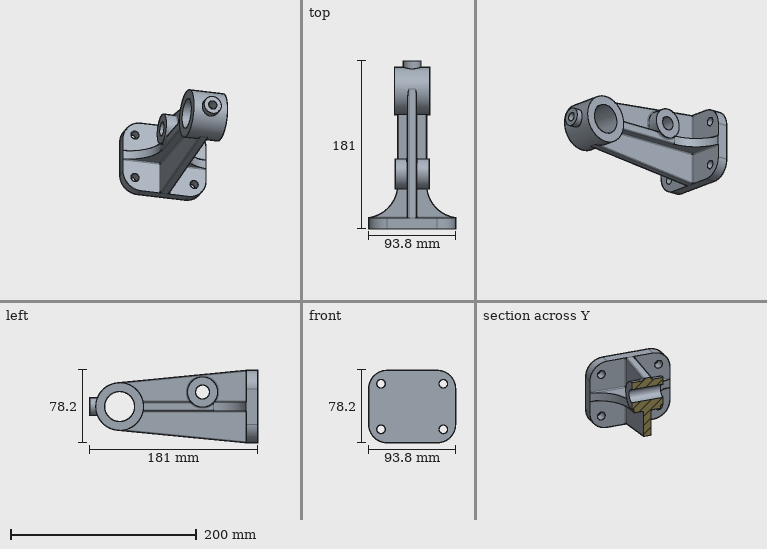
import math

import cadquery as cq

FLANGE_WIDTH = 93.82
FLANGE_HEIGHT = 78.19
FLANGE_THICKNESS = 12.2
FLANGE_CORNER_RADIUS = 20.0
BOLT_SPACING_X = 67.0
BOLT_SPACING_Z = 49.0
BOLT_HOLE_DIAMETER = 9.0

RING_Y = 148.6
RING_RADIUS = 25.7
RING_BORE_DIAMETER = 32.0
RING_WIDTH = 38.0

TOTAL_LENGTH = 180.95
SPOUT_DIAMETER = 19.4
SPOUT_HOLE_DIAMETER = 9.2

WEB_THICKNESS = 9.5
RIB_WIDTH = 31.4
RIB_THICKNESS = 9.5
FLARE_RADIUS = 35.5
FLARE_Y = FLANGE_THICKNESS + FLARE_RADIUS
CAST_RADIUS = 1.1

BOSS_Y = 59.4
BOSS_Z = 15.6
BOSS_DIAMETER = 32.5
BOSS_WIDTH = 36.8
BOSS_HOLE_DIAMETER = 14.8

OVERLAP = 1.0
RING_SINK = 0.003


def x_cylinder(diameter, length, y, z):
    """Cylinder along X, centred on the plane X = 0."""
    return cq.Workplane("YZ", origin=(-length / 2, y, z)).circle(diameter / 2).extrude(length)


def y_cylinder(diameter, y_start, y_end):
    """Cylinder along Y on the axis X = Z = 0."""
    return cq.Workplane("XZ", origin=(0, y_start, 0)).circle(diameter / 2).extrude(y_start - y_end)


def make_flange():
    plate = cq.Workplane("XZ").rect(FLANGE_WIDTH, FLANGE_HEIGHT).extrude(-FLANGE_THICKNESS)
    return plate.edges("|Y").fillet(FLANGE_CORNER_RADIUS)


def make_web():
    """Tapered web whose sloping edges run tangent to the ring."""
    half_height = FLANGE_HEIGHT / 2
    reach = RING_Y - FLANGE_THICKNESS
    tangent_radius = RING_RADIUS - RING_SINK
    to_centre = math.atan2(half_height, reach)
    slope = to_centre - math.asin(tangent_radius / math.hypot(half_height, reach))
    tangent_y = RING_Y + tangent_radius * math.sin(slope)
    tangent_z = tangent_radius * math.cos(slope)
    root_y = FLANGE_THICKNESS - OVERLAP
    web = (
        cq.Workplane("YZ")
        .moveTo(root_y, -half_height)
        .lineTo(FLANGE_THICKNESS, -half_height)
        .lineTo(tangent_y, -tangent_z)
        .lineTo(tangent_y, tangent_z)
        .lineTo(FLANGE_THICKNESS, half_height)
        .lineTo(root_y, half_height)
        .close()
        .extrude(WEB_THICKNESS / 2, both=True)
    )
    edge_y = (FLANGE_THICKNESS + tangent_y) / 2
    edge_z = (half_height + tangent_z) / 2
    for x in (-WEB_THICKNESS / 2, WEB_THICKNESS / 2):
        for z in (-edge_z, edge_z):
            web = web.edges(cq.selectors.NearestToPointSelector((x, edge_y, z))).fillet(CAST_RADIUS)
    return web


def make_flare(thickness):
    """Foot of the cross rib, spreading in an arc on each side to the flange width."""
    half_width = RIB_WIDTH / 2
    tip_x = FLANGE_WIDTH / 2
    centre_x = half_width + FLARE_RADIUS
    tip_y = FLARE_Y - math.sqrt(FLARE_RADIUS**2 - (centre_x - tip_x) ** 2)
    middle_x = centre_x - FLARE_RADIUS * math.cos(math.pi / 4)
    middle_y = FLARE_Y - FLARE_RADIUS * math.sin(math.pi / 4)
    root_y = FLANGE_THICKNESS - OVERLAP
    return (
        cq.Workplane("XY")
        .moveTo(-half_width, FLARE_Y)
        .lineTo(half_width, FLARE_Y)
        .threePointArc((middle_x, middle_y), (tip_x, tip_y))
        .lineTo(tip_x, root_y)
        .lineTo(-tip_x, root_y)
        .lineTo(-tip_x, tip_y)
        .threePointArc((-middle_x, middle_y), (-half_width, FLARE_Y))
        .close()
        .extrude(thickness / 2, both=True)
    )


def make_rib():
    """Cross rib: a bar with rounded long edges running from the flare to the ring."""
    bar = (
        cq.Workplane("XY", origin=(0, (FLARE_Y + RING_Y) / 2, 0))
        .box(RIB_WIDTH, RING_Y - FLARE_Y, RIB_THICKNESS)
        .edges("|Y")
        .fillet(CAST_RADIUS)
    )
    return bar.union(make_flare(RIB_THICKNESS))


def cove_profile(plane, u, v):
    """Concave fillet section filling the inside corner at (u, v) towards +u and +v."""
    far_u = u + CAST_RADIUS
    far_v = v + CAST_RADIUS
    arc_offset = CAST_RADIUS * (1 - math.cos(math.pi / 4))
    return (
        plane.moveTo(u, v)
        .lineTo(far_u, v)
        .threePointArc((u + arc_offset, v + arc_offset), (u, far_v))
        .close()
    )


def make_root_coves():
    """Fillets in the inside corners between web, rib and flange, in all four quadrants."""
    web_face = WEB_THICKNESS / 2
    rib_face = RIB_THICKNESS / 2
    web_top = FLANGE_HEIGHT / 2 - CAST_RADIUS
    along_web = cove_profile(cq.Workplane("XY"), web_face, FLANGE_THICKNESS).extrude(web_top)
    along_arm = cove_profile(cq.Workplane("XZ"), web_face, rib_face).extrude(-RING_Y)
    along_rib = cove_profile(cq.Workplane("YZ"), FLANGE_THICKNESS, rib_face).extrude(FLANGE_WIDTH / 2)
    along_rib = along_rib.intersect(make_flare(FLANGE_HEIGHT))
    quadrant = along_web.union(along_arm).union(along_rib)
    upper = quadrant.union(quadrant.mirror("YZ"))
    return upper.union(upper.mirror("XY"))


def boss_cove(face_x):
    """Fillet ring around the boss where it leaves a flat face at X = face_x."""
    profile = cove_profile(cq.Workplane("XY", origin=(0, BOSS_Y, BOSS_Z)), face_x, BOSS_DIAMETER / 2)
    return profile.revolve(360, (0, 0, 0), (1, 0, 0))


def make_boss_coves():
    """Boss fillets on the web faces and on the flat outer faces of the rib."""
    rib_flat = cq.Workplane("XY", origin=(0, (FLARE_Y + RING_Y) / 2, 0)).box(
        BOSS_WIDTH, RING_Y - FLARE_Y, RIB_THICKNESS - 2 * CAST_RADIUS
    )
    side = boss_cove(WEB_THICKNESS / 2).union(boss_cove(RIB_WIDTH / 2).intersect(rib_flat))
    return side.union(side.mirror("YZ"))


def make_bolt_holes():
    corners = cq.Workplane("XZ").rect(BOLT_SPACING_X, BOLT_SPACING_Z, forConstruction=True).vertices()
    return corners.circle(BOLT_HOLE_DIAMETER / 2).extrude(-FLANGE_THICKNESS)


arm = make_web().union(make_rib()).union(x_cylinder(BOSS_DIAMETER, BOSS_WIDTH, BOSS_Y, BOSS_Z))
body = make_flange().union(arm).union(make_root_coves()).union(make_boss_coves())
body = body.union(x_cylinder(2 * RING_RADIUS, RING_WIDTH, RING_Y, 0))
body = body.union(y_cylinder(SPOUT_DIAMETER, RING_Y, TOTAL_LENGTH))

body = body.cut(x_cylinder(RING_BORE_DIAMETER, RING_WIDTH, RING_Y, 0))
body = body.cut(x_cylinder(BOSS_HOLE_DIAMETER, BOSS_WIDTH, BOSS_Y, BOSS_Z))
body = body.cut(y_cylinder(SPOUT_HOLE_DIAMETER, RING_Y, TOTAL_LENGTH))
result = body.cut(make_bolt_holes())